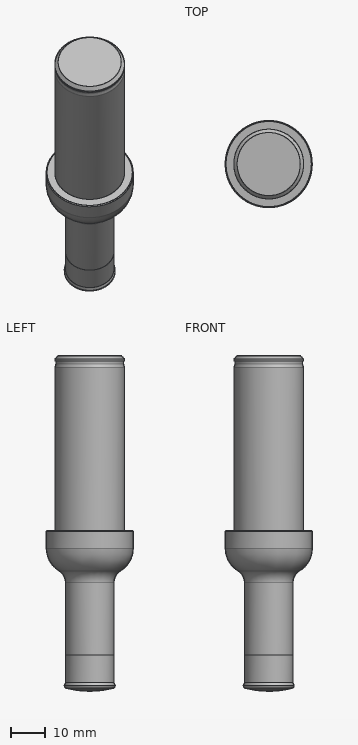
import cadquery as cq
import math

length = 96.0

handle_radius = 20.0 / 2
top_chamfer = 1.0
groove_top = 94.5
groove_floor_end = 93.6
groove_bottom = 92.6
groove_depth = 0.3

collar_radius = 25.0 / 2
collar_top = 46.1
collar_chamfer = 0.3
collar_bottom = 40.9
bowl_radius = 7.5

shank_radius = 13.9 / 2
shank_top = 31.1
tip_top = 10.4

lip_radius = 7.3
flare_top = 2.5
flare_bottom = 1.6
lip_round = 0.8

bowl_center_radius = collar_radius - bowl_radius
blend_height = collar_bottom - shank_top
center_gap = shank_radius - bowl_center_radius
neck_radius = (center_gap**2 + blend_height**2 - bowl_radius**2) / (2 * (bowl_radius - center_gap))
neck_center_radius = shank_radius + neck_radius
blend_angle = math.atan2(blend_height, center_gap + neck_radius)


def bowl_point(angle):
    """Point on the bowl arc, with the angle measured downward from horizontal."""
    return (
        bowl_center_radius + bowl_radius * math.cos(angle),
        collar_bottom - bowl_radius * math.sin(angle),
    )


def neck_point(angle):
    """Point on the neck arc, with the angle measured upward from horizontal."""
    return (
        neck_center_radius - neck_radius * math.cos(angle),
        shank_top + neck_radius * math.sin(angle),
    )


def revolve_about_z(profile):
    """Revolve a closed half profile (radius, height) about the Z axis."""
    return profile.revolve(360, (0, 0, 0), (0, 1, 0))


def make_holder():
    """Handle, collar and shank as one turned body."""
    groove_radius = handle_radius - groove_depth
    profile = (
        cq.Workplane("XZ")
        .moveTo(0, length)
        .lineTo(handle_radius - top_chamfer, length)
        .lineTo(handle_radius, length - top_chamfer)
        .lineTo(handle_radius, groove_top)
        .lineTo(groove_radius, groove_top)
        .lineTo(groove_radius, groove_floor_end)
        .lineTo(handle_radius, groove_bottom)
        .lineTo(handle_radius, collar_top)
        .lineTo(collar_radius - collar_chamfer, collar_top)
        .lineTo(collar_radius, collar_top - collar_chamfer)
        .lineTo(collar_radius, collar_bottom)
        .threePointArc(bowl_point(blend_angle / 2), bowl_point(blend_angle))
        .threePointArc(neck_point(blend_angle / 2), (shank_radius, shank_top))
        .lineTo(shank_radius, tip_top)
        .lineTo(0, tip_top)
        .close()
    )
    return revolve_about_z(profile)


def make_tip():
    """End piece with a flared lip and a domed lower face."""
    round_center_radius = lip_radius - lip_round
    dome_radius = (round_center_radius**2 + flare_bottom**2 - lip_round**2) / (
        2 * (flare_bottom - lip_round)
    )
    dome_angle = math.asin(round_center_radius / (dome_radius - lip_round))

    def dome_point(angle):
        """Point on the dome, with the angle measured from the downward axis."""
        return (dome_radius * math.sin(angle), dome_radius * (1 - math.cos(angle)))

    round_middle_angle = (dome_angle + math.pi / 2) / 2
    round_middle = (
        round_center_radius + lip_round * math.sin(round_middle_angle),
        flare_bottom - lip_round * math.cos(round_middle_angle),
    )
    profile = (
        cq.Workplane("XZ")
        .moveTo(0, tip_top)
        .lineTo(shank_radius, tip_top)
        .lineTo(shank_radius, flare_top)
        .lineTo(lip_radius, flare_bottom)
        .threePointArc(round_middle, dome_point(dome_angle))
        .threePointArc(dome_point(dome_angle / 2), (0, 0))
        .close()
    )
    return revolve_about_z(profile)


holder = make_holder()
tip = make_tip()
result = cq.Compound.makeCompound([holder.val(), tip.val()])